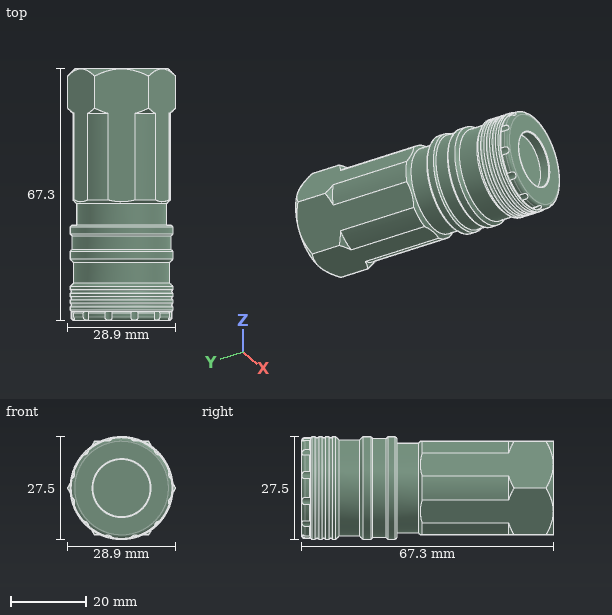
import cadquery as cq
import math

total_length = 67.25
hex_across_flats = 25.0
hex_corner_radius = hex_across_flats / math.sqrt(3)

head_end_radius = 12.4
head_length = 12.0
grip_radius = 13.0
grip_start = 31.2
neck_radius = 12.0
outer_radius = 13.75

barrel_radius = 13.25
rear_ring_end = 25.5
rear_ring_start = 22.6
front_ring_end = 19.0
front_ring_start = 15.5
waist_radius = 12.85

ridge_count = 4
ridge_pitch = 1.82
ridge_width = 0.82
first_ridge_end = 9.12
groove_floor_radius = 0.42
groove_flank_depth = 0.2

collar_radius = 13.5
collar_groove_radius = 13.35
collar_groove_y = 2.45
collar_edge_y = 2.1
collar_fillet = 1.0

notch_count = 12
notch_radius = 1.3
notch_floor_radius = 13.0
notch_start_angle = 15.0

recess_radius = 7.65
recess_depth = 2.8
recess_chamfer = 0.2


def revolve_profile(profile):
    """Revolve a closed (radius, Y) profile around the Y axis."""
    return profile.close().revolve(360, (0, 0, 0), (0, 1, 0))


def make_wrench_body():
    """Hexagonal head whose corners are turned down to a round grip with six flats."""
    body_length = total_length - grip_start
    hexagon = (
        cq.Workplane("XZ", origin=(0, total_length, 0))
        .polygon(6, 2 * hex_corner_radius)
        .extrude(body_length)
    )
    head_start = total_length - head_length
    corner_rise = hex_corner_radius - grip_radius
    corner_drop = hex_corner_radius - head_end_radius
    turned_envelope = revolve_profile(
        cq.Workplane("XY")
        .moveTo(0, grip_start)
        .lineTo(neck_radius, grip_start)
        .lineTo(grip_radius, grip_start + grip_radius - neck_radius)
        .lineTo(grip_radius, head_start)
        .lineTo(hex_corner_radius, head_start + corner_rise)
        .lineTo(hex_corner_radius, total_length - corner_drop)
        .lineTo(head_end_radius, total_length)
        .lineTo(0, total_length)
    )
    return hexagon.intersect(turned_envelope)


def add_ridges(profile):
    """Continue the profile over the ridges, with round-bottomed V grooves between them."""
    flank_radius = outer_radius - groove_flank_depth
    arc_depth = groove_floor_radius * (1 - math.sqrt(0.5))
    for index in range(ridge_count):
        ridge_start = first_ridge_end - ridge_width - index * ridge_pitch
        profile = profile.lineTo(outer_radius, ridge_start)
        if index < ridge_count - 1:
            next_ridge_end = ridge_start + ridge_width - ridge_pitch
            groove_middle = (ridge_start + next_ridge_end) / 2
            profile = (
                profile.lineTo(flank_radius, ridge_start - groove_flank_depth)
                .threePointArc(
                    (flank_radius - arc_depth, groove_middle),
                    (flank_radius, next_ridge_end + groove_flank_depth),
                )
                .lineTo(outer_radius, next_ridge_end)
            )
    return profile


def make_sleeve():
    """Turned front half: neck, two rings, waist, ridges and filleted collar."""
    ring_bevel = outer_radius - barrel_radius
    waist_bevel = outer_radius - waist_radius
    profile = (
        cq.Workplane("XY")
        .moveTo(0, grip_start)
        .lineTo(neck_radius, grip_start)
        .lineTo(neck_radius, rear_ring_end)
        .lineTo(barrel_radius, rear_ring_end)
        .lineTo(outer_radius, rear_ring_end - ring_bevel)
        .lineTo(outer_radius, rear_ring_start + ring_bevel)
        .lineTo(barrel_radius, rear_ring_start)
        .lineTo(barrel_radius, front_ring_end)
        .lineTo(outer_radius, front_ring_end - ring_bevel)
        .lineTo(outer_radius, front_ring_start + waist_bevel)
        .lineTo(waist_radius, front_ring_start)
        .lineTo(waist_radius, first_ridge_end + waist_bevel)
        .lineTo(outer_radius, first_ridge_end)
    )
    fillet_middle = collar_fillet * (1 - math.sqrt(0.5))
    profile = (
        add_ridges(profile)
        .lineTo(collar_groove_radius, collar_groove_y)
        .lineTo(collar_radius, collar_edge_y)
        .lineTo(collar_radius, collar_fillet)
        .threePointArc(
            (collar_radius - fillet_middle, fillet_middle),
            (collar_radius - collar_fillet, 0),
        )
        .lineTo(0, 0)
    )
    return revolve_profile(profile)


def make_notches():
    """Ring of axial cylinders that scallop the edge of the collar."""
    return (
        cq.Workplane("XZ")
        .polarArray(notch_floor_radius + notch_radius, notch_start_angle, 360, notch_count)
        .circle(notch_radius)
        .extrude(-collar_groove_y)
    )


def make_recess():
    """Blind round recess with a chamfered rim."""
    return revolve_profile(
        cq.Workplane("XY")
        .moveTo(0, 0)
        .lineTo(recess_radius + recess_chamfer, 0)
        .lineTo(recess_radius, recess_chamfer)
        .lineTo(recess_radius, recess_depth)
        .lineTo(0, recess_depth)
    )


result = (
    make_sleeve()
    .union(make_wrench_body())
    .cut(make_notches())
    .cut(make_recess())
)